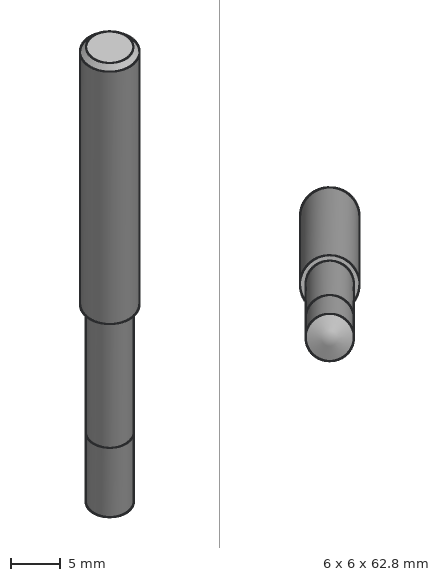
import cadquery as cq
import math

total_length = 62.75
shank_diameter = 6.0
shank_length = 35.0
shank_chamfer = 0.6
drill_diameter = 4.9
tip_length = 10.35
point_angle = 140.0

shank_radius = shank_diameter / 2
drill_radius = drill_diameter / 2
shoulder_z = total_length - shank_length
neck_length = shoulder_z - tip_length
point_height = drill_radius / math.tan(math.radians(point_angle / 2))


def make_holder():
    """Chamfered shank with the thinner neck below it."""
    shank = (
        cq.Workplane("XY", origin=(0, 0, shoulder_z))
        .circle(shank_radius)
        .extrude(shank_length)
        .faces(">Z")
        .chamfer(shank_chamfer)
    )
    neck = (
        cq.Workplane("XY", origin=(0, 0, tip_length))
        .circle(drill_radius)
        .extrude(neck_length)
    )
    return shank.union(neck)


def make_cutting_tip():
    """Cylinder with a conical point, revolved about the Z axis."""
    return (
        cq.Workplane("XZ")
        .moveTo(0, 0)
        .lineTo(drill_radius, point_height)
        .lineTo(drill_radius, tip_length)
        .lineTo(0, tip_length)
        .close()
        .revolve(360, (0, 0, 0), (0, 1, 0))
    )


holder = make_holder()
cutting_tip = make_cutting_tip()

result = cq.Compound.makeCompound([holder.val(), cutting_tip.val()])